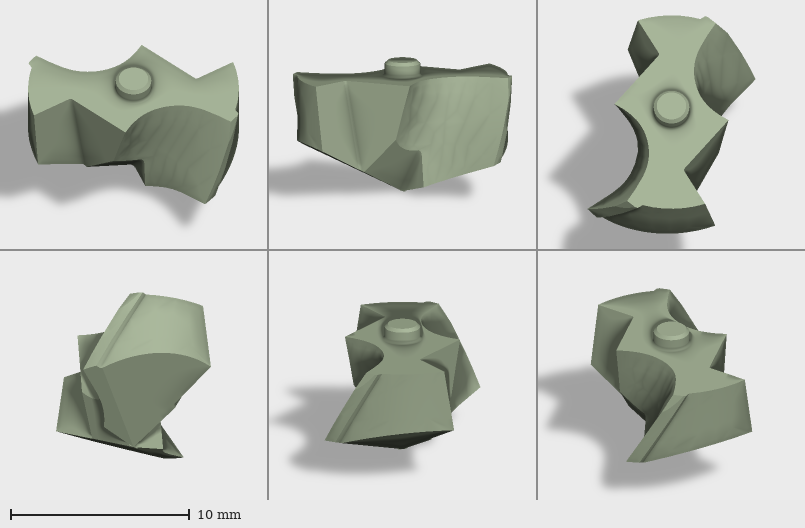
import cadquery as cq
import math

body_height = 6.62
twist_per_unit = 5.569

margin_radius = 6.15
land_radius = 5.9
margin_start_angle = 195
margin_end_angle = 202
land_start_angle = 204
land_end_angle = 297
flute_points = [(-4.67, -1.43), (-3.2, -0.96), (-2.19, -0.06), (-1.71, 0.86), (-1.57, 1.72), (-1.67, 2.77), (-2.09, 4.06)]

gash_wall_y = -2.77
gash_corner_x = -2.28
gash_lean = 0.18
gash_side_slope = 0.36
gash_corner_fillet = 0.15

primary_slopes = (-0.36, -0.07)
secondary_slopes = (-0.36, -0.394)
thinning_slopes = (1.025, -0.957)
thinning_wall_angle = -33
thinning_fillet = 0.25

taper_rear_x = 5.76
taper_outer_x = 6.14
taper_height = 1.29

pin_radius = 1.0
pin_height = 0.86
pin_chamfer = 0.17
pin_cove = 0.15

reach = 24.6


def polar(radius, angle):
    turn = math.radians(angle)
    return (radius * math.cos(turn), radius * math.sin(turn))


def opposite(point):
    return (-point[0], -point[1])


def half_turn(shape):
    return shape.rotate((0, 0, 0), (0, 0, 1), 180)


def twisted_body():
    """Fluted section swept along the helix, before the gashes and point are ground."""
    margin_middle = polar(margin_radius, (margin_start_angle + margin_end_angle) / 2)
    margin_end = polar(margin_radius, margin_end_angle)
    land_start = polar(land_radius, land_start_angle)
    land_middle = polar(land_radius, (land_start_angle + land_end_angle) / 2)
    land_end = polar(land_radius, land_end_angle)
    start = polar(margin_radius, margin_start_angle)

    section = cq.Workplane("XY").moveTo(*start)
    for place in (lambda point: point, opposite):
        section = section.threePointArc(place(margin_middle), place(margin_end))
        section = section.lineTo(*place(land_start))
        section = section.threePointArc(place(land_middle), place(land_end))
        flute = [opposite(place(point)) for point in reversed(flute_points)]
        section = section.lineTo(*flute[0])
        section = section.spline(flute[1:] + [opposite(place(start))], includeCurrent=True)
    return section.close().twistExtrude(-body_height, twist_per_unit * body_height)


def gash_tool():
    """Leaning prism with one flat wall along X and one along the back of a wing."""
    side = reach / 2
    outline = [
        (0, 0),
        (side, 0),
        (side, -side),
        (-gash_side_slope * side, -side),
    ]
    lean_x = gash_lean * body_height
    tool = (
        cq.Workplane("XY", origin=(gash_corner_x, gash_wall_y, 0))
        .polyline(outline)
        .close()
        .workplane(offset=-body_height)
        .polyline([(x + lean_x, y) for x, y in outline])
        .close()
        .loft(ruled=True)
    )
    corner = cq.selectors.NearestToPointSelector((gash_corner_x + lean_x / 2, gash_wall_y, -body_height / 2))
    return tool.edges(corner).fillet(gash_corner_fillet)


def below_facet(slopes):
    """Everything under a plane through the tip, on one side of the thinning wall."""
    facet = cq.Plane(origin=(0, 0, -body_height), xDir=(1, 0, slopes[0]), normal=(*slopes, -1))
    under = cq.Workplane(facet).rect(2 * reach, 2 * reach).extrude(reach)
    wing_side = (
        cq.Workplane("XY")
        .box(2 * reach, reach, 2 * reach, centered=(True, False, True))
        .translate((0, -reach, 0))
        .rotate((0, 0, 0), (0, 0, 1), thinning_wall_angle)
    )
    return under.intersect(wing_side)


def thinning_tool():
    """Web-thinning cut with a rounded valley against its wall."""
    run_x, run_y = polar(1, thinning_wall_angle)
    rise = thinning_slopes[0] * run_x + thinning_slopes[1] * run_y
    valley = cq.selectors.ParallelDirSelector(cq.Vector(run_x, run_y, rise))
    return below_facet(thinning_slopes).edges(valley).fillet(thinning_fillet)


def taper_tool():
    """Wedge outside the flat at the rear end of the -X margin."""
    return (
        cq.Workplane("XZ")
        .polyline([(-taper_rear_x, 0), (-taper_outer_x, -taper_height), (-reach, -taper_height), (-reach, 0)])
        .close()
        .extrude(reach, both=True)
    )


def locating_pin():
    """Chamfered pin with a concave fillet at its foot."""
    cove_middle = pin_cove * (1 - math.sqrt(0.5))
    return (
        cq.Workplane("XZ")
        .moveTo(0, -0.12)
        .lineTo(pin_radius + pin_cove, -0.12)
        .lineTo(pin_radius + pin_cove, 0)
        .threePointArc((pin_radius + cove_middle, cove_middle), (pin_radius, pin_cove))
        .lineTo(pin_radius, pin_height - pin_chamfer)
        .lineTo(pin_radius - pin_chamfer, pin_height)
        .lineTo(0, pin_height)
        .close()
        .revolve(360, (0, 0, 0), (0, 1, 0))
    )


result = twisted_body()
cutters = [
    gash_tool(),
    below_facet(primary_slopes),
    below_facet(secondary_slopes),
    thinning_tool(),
    taper_tool(),
]
for cutter in cutters:
    result = result.cut(cutter).cut(half_turn(cutter))
result = result.union(locating_pin())